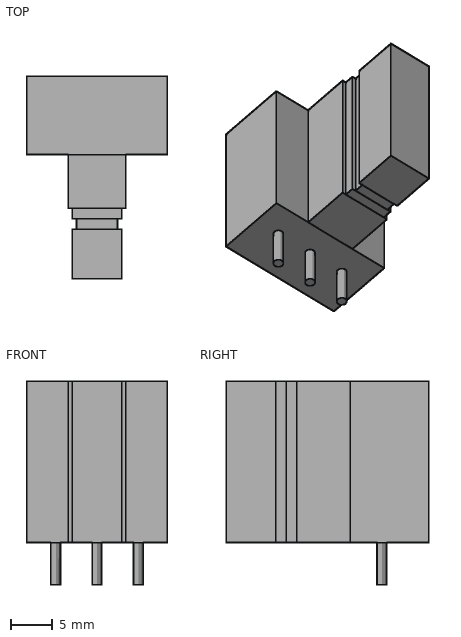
import cadquery as cq

total_height = 24.6
body_height = 19.5
pin_length = total_height - body_height

housing_width = 17.0
housing_depth = 9.5

guide_width = 6.99
guide_depth = 6.5

button_width = 6.0
button_depth = 6.0
collar_depth = 1.25
neck_width = 5.0
neck_depth = 1.25

pin_diameter = 1.2
pin_pitch = 5.0
pin_count = 3
pin_from_back = 5.68

guide_front = -guide_depth
collar_front = guide_front - collar_depth
neck_front = collar_front - neck_depth
button_front = neck_front - button_depth


def make_block(width, depth, front):
    """Full-height block centred on X, with its front face at Y = front."""
    block = cq.Workplane("XY").box(width, depth, body_height, centered=(True, False, False))
    return block.translate((0, front, 0))


def make_housing():
    return make_block(housing_width, housing_depth, 0)


def make_guide():
    return make_block(guide_width, guide_depth, guide_front)


def make_collar():
    """Slice of the plunger next to the guide, as wide as the button."""
    return make_block(button_width, collar_depth, collar_front)


def make_neck():
    """Narrower slice between collar and button."""
    return make_block(neck_width, neck_depth, neck_front)


def make_button():
    return make_block(button_width, button_depth, button_front)


def make_pin(x):
    """Round terminal pin hanging from the underside of the housing."""
    pin_y = housing_depth - pin_from_back
    return cq.Workplane("XY").center(x, pin_y).circle(pin_diameter / 2).extrude(-pin_length)


housing = make_housing()
guide = make_guide()
collar = make_collar()
neck = make_neck()
button = make_button()

pins = []
for index in range(pin_count):
    pin_x = (index - (pin_count - 1) / 2) * pin_pitch
    pins.append(make_pin(pin_x).val())

result = cq.Compound.makeCompound(
    [housing.val(), guide.val(), collar.val(), neck.val(), button.val(), *pins]
)